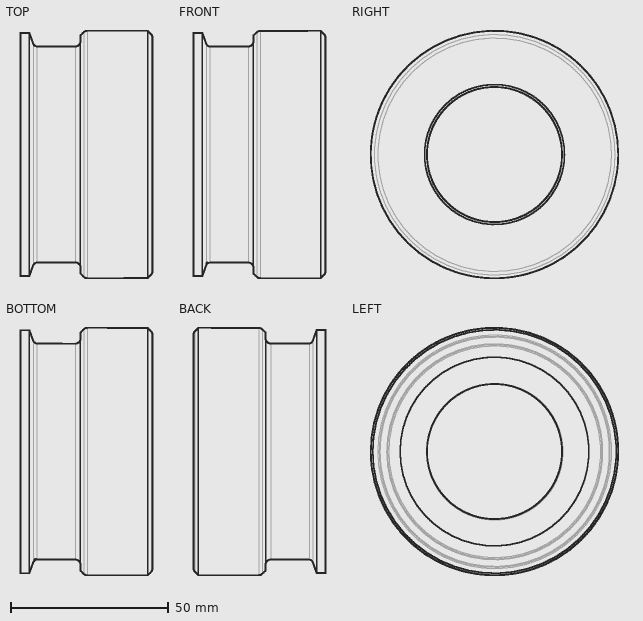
import cadquery as cq
import math

total_length = 42.06
collar_radius = 78.74 / 2
flange_radius = 77.39 / 2
neck_radius = 68.78 / 2
mouth_radius = 60.0 / 2
throat_radius = 42.9 / 2

rim_width = 2.87
flange_back_angle = 20.0
flange_root_fillet = 1.2

collar_start = 19.1
collar_root_fillet = 1.6
front_chamfer = 1.5
rear_chamfer = 1.6
chamfer_blend_radius = 1.6

mouth_depth = 13.3
throat_end = 16.2
bore_blend_radius = 1.6
bore_taper = 1 / 16

groove_centre_radius = 35.4
groove_half_width = 1.47
groove_flank_angle = 25.0
groove_bottom_radius = 1.16
groove_edge_fillet = 0.45

AXIS_START = (0, 0, 0)
AXIS_END = (1, 0, 0)


def revolve_about_x(profile):
    """Turn a closed (x, radius) profile about the X axis."""
    return profile.close().revolve(360, AXIS_START, AXIS_END)


def fillet_circle(body, x, radius, fillet_radius):
    """Round the circular edge lying at the given axial position and radius."""
    tolerance = 0.01
    edge_box = cq.selectors.BoxSelector(
        (x - tolerance, -radius - tolerance, -radius - tolerance),
        (x + tolerance, radius + tolerance, radius + tolerance),
        boundingbox=True,
    )
    return body.edges(edge_box).edges(cq.selectors.RadiusNthSelector(-1)).fillet(fillet_radius)


def make_outer_body():
    """Flange, neck and collar as one solid turning."""
    flange_back_width = (flange_radius - neck_radius) * math.tan(math.radians(flange_back_angle))
    flange_end = rim_width + flange_back_width
    chamfer_end = collar_start + front_chamfer
    profile = (
        cq.Workplane("XY")
        .moveTo(0, 0)
        .lineTo(0, flange_radius)
        .lineTo(rim_width, flange_radius)
        .lineTo(flange_end, neck_radius)
        .lineTo(collar_start, neck_radius)
        .lineTo(collar_start, collar_radius - front_chamfer)
        .lineTo(chamfer_end, collar_radius)
        .lineTo(total_length - rear_chamfer, collar_radius)
        .lineTo(total_length, collar_radius - rear_chamfer)
        .lineTo(total_length, 0)
    )
    body = revolve_about_x(profile)
    body = fillet_circle(body, flange_end, neck_radius, flange_root_fillet)
    body = fillet_circle(body, collar_start, neck_radius, collar_root_fillet)
    body = fillet_circle(body, chamfer_end, collar_radius, chamfer_blend_radius)
    return fillet_circle(body, total_length, collar_radius - rear_chamfer, chamfer_blend_radius)


def make_bore():
    """Conical mouth blended into the throat, with the taper opening toward the collar end."""
    exit_radius = throat_radius + (total_length - throat_end) * bore_taper / 2
    profile = (
        cq.Workplane("XY")
        .moveTo(0, 0)
        .lineTo(0, mouth_radius)
        .lineTo(mouth_depth, throat_radius)
        .lineTo(throat_end, throat_radius)
        .lineTo(total_length, exit_radius)
        .lineTo(total_length, 0)
    )
    return fillet_circle(revolve_about_x(profile), mouth_depth, throat_radius, bore_blend_radius)


def cut_gasket_groove(body):
    """Ring groove in the flange face, its flanks tangent to the round bottom and its rims softened."""
    flank_angle = math.radians(groove_flank_angle)
    bottom_half_width = groove_bottom_radius * math.cos(flank_angle)
    flank_depth = (groove_half_width - bottom_half_width) / math.tan(flank_angle)
    groove_depth = flank_depth + groove_bottom_radius * (1 - math.sin(flank_angle))
    inner_radius = groove_centre_radius - groove_half_width
    outer_radius = groove_centre_radius + groove_half_width
    profile = (
        cq.Workplane("XY")
        .moveTo(0, inner_radius)
        .lineTo(flank_depth, groove_centre_radius - bottom_half_width)
        .threePointArc(
            (groove_depth, groove_centre_radius),
            (flank_depth, groove_centre_radius + bottom_half_width),
        )
        .lineTo(0, outer_radius)
    )
    body = body.cut(revolve_about_x(profile))
    body = fillet_circle(body, 0, inner_radius, groove_edge_fillet)
    return fillet_circle(body, 0, outer_radius, groove_edge_fillet)


result = cut_gasket_groove(make_outer_body().cut(make_bore()))